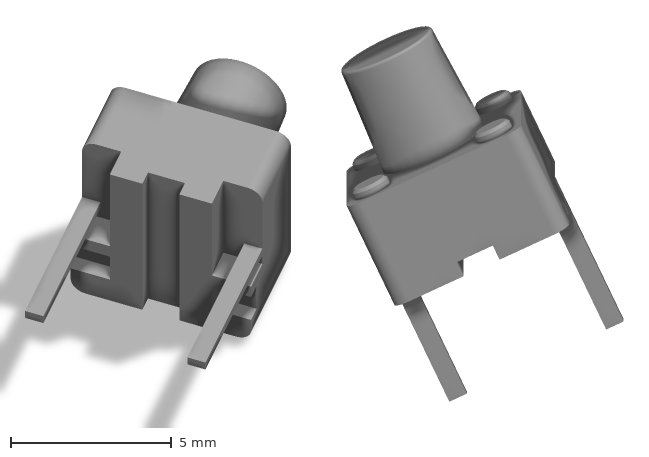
import cadquery as cq


case_width = 6.0
corner_radius = 0.5
case_depth = 3.5
cover_thickness = 0.2
case_back = -case_depth

button_height = 3.5
button_base_diameter = 3.5
button_tip_diameter = 3.12
button_edge_round = 0.1

peg_diameter = 1.2
peg_height = 0.3
peg_edge_chamfer = 0.1
peg_offset = 2.1

groove_width = 1.23
groove_depth = 0.5
side_recess_width = 1.3
step_depth = 1.0
step_bottom = -0.42
pocket_top = -0.91
pocket_bottom = -2.0
pocket_depth = 0.5

overall_length = 11
lead_width = 0.6
lead_thickness = 0.33
lead_top = 0.31
lead_length = overall_length - button_height - case_depth + step_depth


def box(x_range, y_range, z_range):
    """Box between the given limits along each axis."""
    limits = (x_range, y_range, z_range)
    sizes = [high - low for low, high in limits]
    corner = tuple(low for low, high in limits)
    return cq.Workplane("XY").box(*sizes, centered=False).translate(corner)


def case_slab(y_back, y_front):
    """Square slab with rounded corners, lying between two Y positions."""
    half = case_width / 2
    slab = box((-half, half), (y_back, y_front), (-half, half))
    return slab.edges("|Y").fillet(corner_radius)


def make_housing():
    half = case_width / 2
    recess_inner = half - side_recess_width
    body = case_slab(case_back, -cover_thickness)

    body = body.cut(box(
        (-groove_width / 2, groove_width / 2),
        (case_back, case_back + groove_depth),
        (-half, half),
    ))

    for x_range in ((-half, -recess_inner), (recess_inner, half)):
        body = body.cut(box(x_range, (case_back, case_back + step_depth), (step_bottom, half)))
        body = body.cut(box(x_range, (case_back, case_back + pocket_depth), (pocket_bottom, pocket_top)))
    return body


def make_button():
    """Tapered button standing on the front of the housing, through the cover."""
    base_radius = button_base_diameter / 2
    tip_radius = button_tip_diameter / 2
    profile = (
        cq.Workplane("XY")
        .moveTo(0, -cover_thickness)
        .lineTo(base_radius, -cover_thickness)
        .lineTo(tip_radius, button_height)
        .lineTo(0, button_height)
        .close()
    )
    button = profile.revolve(360, (0, 0, 0), (0, 1, 0))
    return button.faces(">Y").edges().fillet(button_edge_round)


def make_peg(x, z):
    """Chamfered peg rising from the outer face of the cover."""
    peg = cq.Workplane("XZ").circle(peg_diameter / 2).extrude(-peg_height)
    return peg.faces(">Y").edges().chamfer(peg_edge_chamfer).translate((x, 0, z))


def make_cover(button):
    """Thin plate with four pegs and a hole that fits the button."""
    cover = case_slab(-cover_thickness, 0)
    for x in (-peg_offset, peg_offset):
        for z in (-peg_offset, peg_offset):
            cover = cover.union(make_peg(x, z))
    return cover.cut(button)


def make_lead(x_low):
    """Straight lead running back from the floor of the housing step."""
    step_floor = case_back + step_depth
    return box(
        (x_low, x_low + lead_width),
        (step_floor - lead_length, step_floor),
        (lead_top - lead_thickness, lead_top),
    )


housing = make_housing()
button = make_button()
cover = make_cover(button)
leads = [make_lead(x_low) for x_low in (-case_width / 2, case_width / 2 - lead_width)]

result = cq.Compound.makeCompound(
    [housing.val(), cover.val(), button.val(), *[lead.val() for lead in leads]]
)